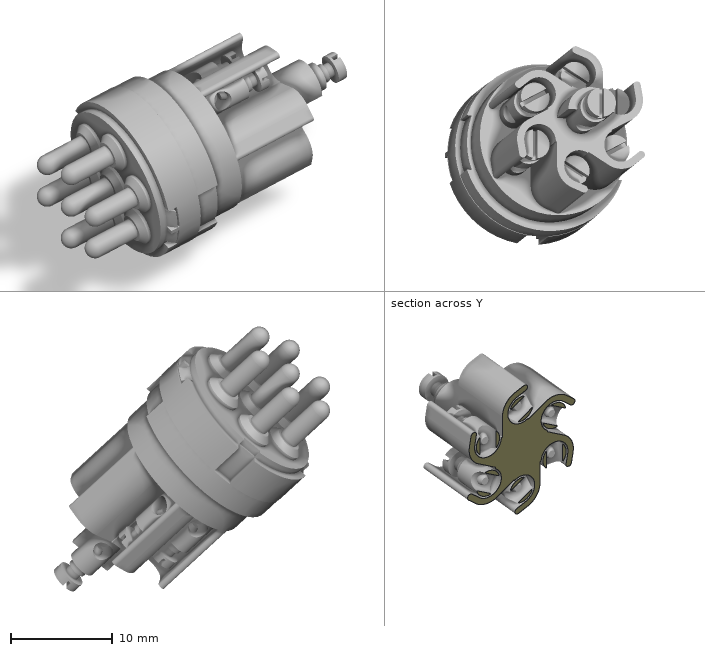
import cadquery as cq
import math


PIN_TIP_Y = -6.4
COLLAR_TIP_Y = -0.93
COLLAR_CHAMFER_Y = -0.33
RING_FRONT_Y = 0.75
BAND_FRONT_Y = 4.33
NECK_FRONT_Y = 6.73
CAGE_FRONT_Y = 9.92
CAGE_BACK_Y = 19.25
SHELL_BACK_Y = 23.28

DISC_RADIUS = 7.75
RING_RADIUS = 17.0 / 2
BAND_RADIUS = 8.45
BAND_RECESS_RADIUS = 8.0
BAND_RECESS_HALF_HEIGHT = 2.75
NECK_RADIUS = 7.6

CONTACT_COUNT = 6
CONTACT_STEP = 360 / CONTACT_COUNT
CONTACT_CIRCLE_RADIUS = 4.75
PIN_RADIUS = 1.03
COLLAR_RADIUS = 1.95
COLLAR_TIP_RADIUS = 1.35
BARREL_RADIUS = 1.45
CENTER_SHIFT = 9.32

BARREL_BACK_Y = 15.12
WIRE_HOLE_Y = 12.1
WIRE_HOLE_RADIUS = 0.95
SCREW_END_RADIUS = 0.4
SCREW_END_BASE_RADIUS = 0.65
SCREW_END_OFFSET = 0.43
SCREW_STEP_RADIUS = 0.95
SCREW_STEP_BACK_Y = 15.85
SCREW_NECK_RADIUS = 0.75
SCREW_NECK_BACK_Y = 16.6
SCREW_HEAD_BACK_Y = 17.58
SCREW_SLOT_WIDTH = 0.45
SCREW_SLOT_DEPTH = 0.73

ARM_OUTER_RADIUS = 2.35
ARM_WALL = 0.73
ARM_TIP_X = 0.43
ARM_TILT = 20.0
POCKET_RADIUS = ARM_OUTER_RADIUS - ARM_WALL
POCKET_LENGTH = 6.65

KEY_WIDTH = 2.2
DISC_SLOT_DEPTH_Z = 7.25
RING_SLOT_DEPTH_Z = 7.55

WINDOW_BACK_Y = 1.75
WINDOW_HALF_HEIGHT = 2.75
WINDOW_RIB_HALF = 0.23
RAMP_BACK_Y = 1.55
RAMP_HALF_HEIGHT = 2.35

OVERCUT = 0.33


def cylinder(radius, y_start, y_end, x=0, z=0):
    return cq.Workplane("XZ", origin=(x, y_start, z)).circle(radius).extrude(y_start - y_end)


def box(x_range, y_range, z_range):
    sizes = [end - start for start, end in (x_range, y_range, z_range)]
    corner = (x_range[0], y_range[0], z_range[0])
    return cq.Workplane("XY", origin=corner).box(*sizes, centered=False)


def turn(solid, angle):
    """Turn about the part axis, from +X towards +Z."""
    return solid.rotate((0, 0, 0), (0, -1, 0), angle)


def on_contact_circle(angle):
    a = math.radians(angle)
    return CONTACT_CIRCLE_RADIUS * math.cos(a), CONTACT_CIRCLE_RADIUS * math.sin(a)


def make_body():
    disc = cylinder(DISC_RADIUS, 0, RING_FRONT_Y)
    ring = cylinder(RING_RADIUS, RING_FRONT_Y, BAND_FRONT_Y)
    band = cylinder(BAND_RADIUS, BAND_FRONT_Y, NECK_FRONT_Y)
    neck = cylinder(NECK_RADIUS, NECK_FRONT_Y, CAGE_FRONT_Y)
    return disc.union(ring).union(band).union(neck)


def make_band_recesses():
    """Shallow curved recesses at both sides of the rear band."""
    rim = cylinder(RING_RADIUS + OVERCUT, BAND_FRONT_Y, NECK_FRONT_Y)
    rim = rim.cut(cylinder(BAND_RECESS_RADIUS, BAND_FRONT_Y, NECK_FRONT_Y))
    span = (-RING_RADIUS - OVERCUT, RING_RADIUS + OVERCUT)
    height = (-BAND_RECESS_HALF_HEIGHT, BAND_RECESS_HALF_HEIGHT)
    return rim.intersect(box(span, (BAND_FRONT_Y, NECK_FRONT_Y), height))


def make_windows():
    """Side windows, each keeping a ramp that rises outwards from front to back."""
    rim = cylinder(RING_RADIUS + OVERCUT, RING_FRONT_Y, WINDOW_BACK_Y)
    rim = rim.cut(cylinder(DISC_RADIUS, RING_FRONT_Y, WINDOW_BACK_Y))
    ramp = (
        cq.Workplane("XY")
        .moveTo(DISC_RADIUS - OVERCUT, RING_FRONT_Y)
        .lineTo(DISC_RADIUS, RING_FRONT_Y)
        .lineTo(RING_RADIUS, RAMP_BACK_Y)
        .lineTo(DISC_RADIUS - OVERCUT, RAMP_BACK_Y)
        .close()
        .revolve(360, (0, 0, 0), (0, 1, 0))
    )
    depth = (RING_FRONT_Y, WINDOW_BACK_Y)
    span = (-RING_RADIUS - OVERCUT, RING_RADIUS + OVERCUT)
    upper = rim.intersect(box(span, depth, (WINDOW_RIB_HALF, WINDOW_HALF_HEIGHT)))
    upper = upper.cut(ramp.intersect(box(span, depth, (WINDOW_RIB_HALF, RAMP_HALF_HEIGHT))))
    return upper.union(upper.mirror("XY"))


def make_key_slot():
    width = (-KEY_WIDTH / 2, KEY_WIDTH / 2)
    outside_z = -RING_RADIUS - OVERCUT
    in_disc = box(width, (0, RING_FRONT_Y), (outside_z, -DISC_SLOT_DEPTH_Z))
    in_ring = box(width, (RING_FRONT_Y, BAND_FRONT_Y), (outside_z, -RING_SLOT_DEPTH_Z))
    return in_disc.union(in_ring)


def make_arm():
    """Outline of the arm hooked over the top contact, as a solid block."""
    tilt = math.radians(ARM_TILT)
    along = (math.cos(tilt), math.sin(tilt))
    normal = (-math.sin(tilt), math.cos(tilt))
    tip_radius = ARM_WALL / 2
    center_z = CONTACT_CIRCLE_RADIUS
    tangent = (ARM_OUTER_RADIUS * normal[0], center_z + ARM_OUTER_RADIUS * normal[1])
    mid_angle = math.radians((180 + 90 + ARM_TILT) / 2)
    arc_mid = (ARM_OUTER_RADIUS * math.cos(mid_angle), center_z + ARM_OUTER_RADIUS * math.sin(mid_angle))

    middle = ARM_OUTER_RADIUS - tip_radius
    reach = (ARM_TIP_X - middle * normal[0]) / along[0]
    tip_z = center_z + middle * normal[1] + reach * along[1]
    outer_end = (ARM_TIP_X + tip_radius * normal[0], tip_z + tip_radius * normal[1])
    end_mid = (ARM_TIP_X + tip_radius * along[0], tip_z + tip_radius * along[1])
    inner_end = (ARM_TIP_X - tip_radius * normal[0], tip_z - tip_radius * normal[1])
    return (
        cq.Workplane("XZ", origin=(0, CAGE_FRONT_Y, 0))
        .moveTo(-ARM_OUTER_RADIUS, 0)
        .lineTo(-ARM_OUTER_RADIUS, center_z)
        .threePointArc(arc_mid, tangent)
        .lineTo(*outer_end)
        .threePointArc(end_mid, inner_end)
        .lineTo(0, 0)
        .close()
        .extrude(CAGE_FRONT_Y - CAGE_BACK_Y)
    )


def make_pocket():
    """Space around the top contact, open between its arm and the next arm."""
    upper = math.radians(ARM_TILT)
    lower = math.radians(90 - CONTACT_STEP)
    flank_gap = CONTACT_CIRCLE_RADIUS * math.cos(lower) - ARM_OUTER_RADIUS
    center_z = CONTACT_CIRCLE_RADIUS
    upper_start = (-POCKET_RADIUS * math.sin(upper), center_z + POCKET_RADIUS * math.cos(upper))
    lower_start = (flank_gap * math.sin(lower), center_z - flank_gap * math.cos(lower))

    def run_out(start, angle):
        return start[0] + POCKET_LENGTH * math.cos(angle), start[1] + POCKET_LENGTH * math.sin(angle)

    opening = (
        cq.Workplane("XZ", origin=(0, CAGE_FRONT_Y, 0))
        .polyline([upper_start, run_out(upper_start, upper), run_out(lower_start, lower), lower_start])
        .close()
        .extrude(CAGE_FRONT_Y - CAGE_BACK_Y)
    )
    return opening.union(cylinder(POCKET_RADIUS, CAGE_FRONT_Y, CAGE_BACK_Y, z=center_z))


def make_cage():
    cage = cylinder(CONTACT_CIRCLE_RADIUS, CAGE_FRONT_Y, CAGE_BACK_Y)
    arm = make_arm()
    for i in range(CONTACT_COUNT):
        cage = cage.union(turn(arm, i * CONTACT_STEP))
    pocket = make_pocket()
    for i in range(CONTACT_COUNT):
        cage = cage.cut(turn(pocket, i * CONTACT_STEP))
    return cage


def make_center_shell():
    """Half-round shell covering the upper side of the axial contact."""
    shell = cylinder(ARM_OUTER_RADIUS, CAGE_BACK_Y, SHELL_BACK_Y)
    shell = shell.cut(cylinder(BARREL_RADIUS, CAGE_BACK_Y, SHELL_BACK_Y))
    span = (-ARM_OUTER_RADIUS, ARM_OUTER_RADIUS)
    return shell.intersect(box(span, (CAGE_BACK_Y, SHELL_BACK_Y), (0, ARM_OUTER_RADIUS)))


def make_pin():
    """Round-ended pin with its chamfered collar."""
    round_start_y = PIN_TIP_Y + PIN_RADIUS
    round_offset = PIN_RADIUS * math.sqrt(0.5)
    return (
        cq.Workplane("XY")
        .moveTo(0, PIN_TIP_Y)
        .threePointArc((round_offset, round_start_y - round_offset), (PIN_RADIUS, round_start_y))
        .lineTo(PIN_RADIUS, COLLAR_TIP_Y)
        .lineTo(COLLAR_TIP_RADIUS, COLLAR_TIP_Y)
        .lineTo(COLLAR_RADIUS, COLLAR_CHAMFER_Y)
        .lineTo(COLLAR_RADIUS, RING_FRONT_Y)
        .lineTo(0, RING_FRONT_Y)
        .close()
        .revolve(360, (0, 0, 0), (0, 1, 0))
    )


def make_screw_end(shift):
    """Tapered end of the clamping screw reaching into the wire hole."""
    end_y = WIRE_HOLE_Y + SCREW_END_OFFSET + shift
    base_y = WIRE_HOLE_Y + WIRE_HOLE_RADIUS + shift
    return (
        cq.Workplane("XY")
        .moveTo(0, end_y)
        .lineTo(SCREW_END_RADIUS, end_y)
        .lineTo(SCREW_END_BASE_RADIUS, base_y)
        .lineTo(0, base_y)
        .close()
        .revolve(360, (0, 0, 0), (0, 1, 0))
    )


def make_terminal(front_y, shift, hole_angle):
    """Barrel with a wire hole through it along hole_angle and a slotted clamping screw."""
    step_y = BARREL_BACK_Y + shift
    neck_y = SCREW_STEP_BACK_Y + shift
    head_y = SCREW_NECK_BACK_Y + shift
    back_y = SCREW_HEAD_BACK_Y + shift
    terminal = cylinder(BARREL_RADIUS, front_y, step_y)
    hole = (
        cq.Workplane("YZ", origin=(0, WIRE_HOLE_Y + shift, 0))
        .circle(WIRE_HOLE_RADIUS)
        .extrude(BARREL_RADIUS + OVERCUT, both=True)
    )
    terminal = terminal.cut(hole).union(make_screw_end(shift))
    terminal = terminal.union(cylinder(SCREW_STEP_RADIUS, step_y, neck_y))
    terminal = terminal.union(cylinder(SCREW_NECK_RADIUS, neck_y, head_y))
    terminal = terminal.union(cylinder(BARREL_RADIUS, head_y, back_y))
    slot = box(
        (-BARREL_RADIUS, BARREL_RADIUS),
        (back_y - SCREW_SLOT_DEPTH, back_y),
        (-SCREW_SLOT_WIDTH / 2, SCREW_SLOT_WIDTH / 2),
    )
    return turn(terminal.cut(slot), hole_angle)


body = make_body()
body = body.cut(make_band_recesses())
body = body.cut(make_windows())
body = body.cut(make_key_slot())
body = body.union(make_cage())
body = body.union(make_center_shell())

pin = make_pin()
body = body.union(pin)
body = body.union(make_terminal(CAGE_BACK_Y, CENTER_SHIFT, -90))
for i in range(CONTACT_COUNT):
    angle = 90 + i * CONTACT_STEP
    x, z = on_contact_circle(angle)
    terminal = make_terminal(CAGE_FRONT_Y, 0, angle - CONTACT_STEP)
    body = body.union(pin.translate((x, 0, z)))
    body = body.union(terminal.translate((x, 0, z)))

result = body